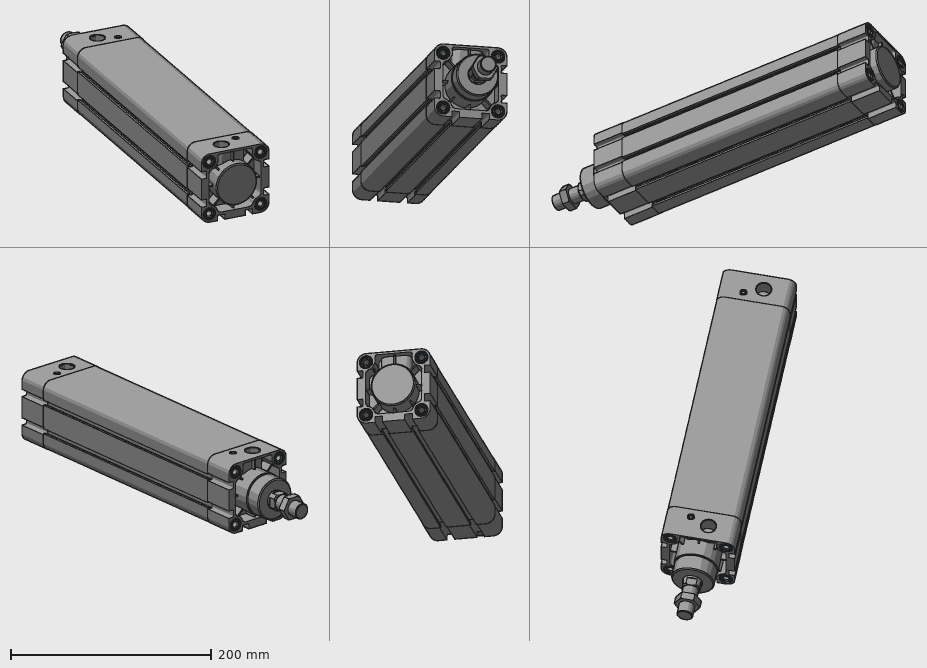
import cadquery as cq
import math

TOTAL_LENGTH = 394.0

CAP_SIDE = 75.0
TUBE_SIDE = 74.5
CAP_LENGTH = 33.0
FRONT_FACE_X = 69.0
SPIGOT_LENGTH = 4.0
REAR_FACE_X = TOTAL_LENGTH - SPIGOT_LENGTH
TUBE_START_X = FRONT_FACE_X + CAP_LENGTH
TUBE_END_X = REAR_FACE_X - CAP_LENGTH
CORNER_RADIUS = 9.5

GROOVE_OFFSET = 15.5
GROOVE_DEPTH = 6.0
CAP_GROOVE_WIDTH = 8.0
CAP_GROOVE_FILLET = 1.0
TUBE_GROOVE_WIDTH = 5.5
TUBE_LIP_THICKNESS = 2.5
TUBE_SLOT_INNER_WIDTH = 9.0

SCREW_OFFSET = 28.5
SCREW_RECESS_DIAMETER = 13.5
SCREW_RECESS_DEPTH = 1.5
SCREW_HEAD_DIAMETER = 12.0
SCREW_HEAD_HEIGHT = 1.0
SCREW_HEAD_CHAMFER = 0.8
SCREW_BORE_DIAMETER = 6.0
SCREW_BORE_RIM_DIAMETER = 8.0
SCREW_BORE_DEPTH = 15.8

POCKET_DEPTH = 17.0
POCKET_HALF_SIDE = 28.8
POCKET_TOP_Z = 35.0
POCKET_TOP_HALF_WIDTH = 19.0
SCREW_PAD_RADIUS = 9.0
POCKET_FILLET = 5.0
POCKET_TOP_FILLET = 2.5
RIB_THICKNESS = 1.5
RIB_HEIGHT = 13.0
BOSS_WIDTH = 32.0
BOSS_CORNER_RADIUS = 8.0
BOSS_DEPTH = 8.0
BOSS_BOTTOM_Z = 15.8

PORT_DIAMETER = 15.0
PORT_MOUTH_DIAMETER = 16.0
PORT_DEPTH = 16.0
PORT_FROM_FACE = 16.5
PORT_Y = -7.5
VENT_DIAMETER = 7.0
VENT_FROM_FACE = 24.0
VENT_Y = 12.0
VENT_DEPTH = 4.0
VENT_SCREW_DIAMETER = 5.5
VENT_SCREW_RISE = 0.5
VENT_SOCKET_DIAMETER = 4.0
VENT_SOCKET_DEPTH = 2.0

SPIGOT_DIAMETER = 45.0
SPIGOT_CHAMFER = 1.0
COLLAR_DIAMETER = 43.5
COLLAR_START_X = 41.8
COLLAR_END_X = 59.5
COLLAR_CHAMFER = 1.0

ROD_DIAMETER = 20.0
THREAD_DIAMETER = 16.0
THREAD_TIP_CHAMFER = 0.8
THREAD_LENGTH = 31.5
ROD_SHOULDER_CHAMFER = 1.0
FLATS_END_X = 39.5
ACROSS_FLATS = 17.5
NUT_START_X = 12.2
NUT_LENGTH = 8.0
NUT_ACROSS_FLATS = 23.0
NUT_ACROSS_CORNERS = NUT_ACROSS_FLATS / math.cos(math.pi / 6)
NUT_CORNER_CHAMFER = 0.8


def axial_cylinder(diameter, start_x, end_x):
    """Cylinder on the rod axis between two X positions."""
    disc = cq.Workplane("YZ", origin=(start_x, 0, 0)).circle(diameter / 2)
    return disc.extrude(end_x - start_x)


def slot_cutter(width, mouth_depth, inner_width, depth, start_x, end_x):
    """Groove cutter along X for a surface at Z = 0: a mouth, then a wider or equal inner part."""
    half_mouth = width / 2
    half_inner = inner_width / 2
    right_half = (
        cq.Workplane("YZ", origin=(start_x, 0, 0))
        .moveTo(0, 0)
        .lineTo(half_mouth, 0)
        .lineTo(half_mouth, -mouth_depth)
        .lineTo(half_inner, -mouth_depth)
        .lineTo(half_inner, -depth)
        .lineTo(0, -depth)
        .close()
        .extrude(end_x - start_x)
    )
    return right_half.union(right_half.mirror("XZ"))


def cut_grooves(bar, cutter, side):
    """Cut two parallel grooves into the underside and the two sides of a square bar."""
    for angle in (90, 180, 270):
        for offset in (-GROOVE_OFFSET, GROOVE_OFFSET):
            groove = cutter.translate((0, offset, side / 2))
            bar = bar.cut(groove.rotate((0, 0, 0), (1, 0, 0), angle))
    return bar


def rounded_bar(side, start_x, end_x):
    """Square bar along X with rounded long edges."""
    square = cq.Workplane("YZ", origin=(start_x, 0, 0)).rect(side, side)
    return square.extrude(end_x - start_x).edges("|X").fillet(CORNER_RADIUS)


def make_tube():
    """Barrel between the caps with T-slots for sensors."""
    slot = slot_cutter(
        TUBE_GROOVE_WIDTH,
        TUBE_LIP_THICKNESS,
        TUBE_SLOT_INNER_WIDTH,
        GROOVE_DEPTH,
        TUBE_START_X,
        TUBE_END_X,
    )
    return cut_grooves(rounded_bar(TUBE_SIDE, TUBE_START_X, TUBE_END_X), slot, TUBE_SIDE)


def cap_block():
    """Front cap block with round-bottomed grooves."""
    groove = (
        cq.Workplane("YZ", origin=(FRONT_FACE_X, 0, 0))
        .rect(CAP_GROOVE_WIDTH, 2 * GROOVE_DEPTH)
        .extrude(CAP_LENGTH)
        .edges("|X")
        .fillet(CAP_GROOVE_FILLET)
    )
    return cut_grooves(rounded_bar(CAP_SIDE, FRONT_FACE_X, TUBE_START_X), groove, CAP_SIDE)


def port_boss():
    """Block hanging from the top of the pocket, with rounded upright front edges."""
    front_x = FRONT_FACE_X + BOSS_DEPTH
    back_x = FRONT_FACE_X + POCKET_DEPTH
    boss = (
        cq.Workplane("XY", origin=((front_x + back_x) / 2, 0, BOSS_BOTTOM_Z))
        .rect(back_x - front_x, BOSS_WIDTH)
        .extrude(POCKET_TOP_Z - BOSS_BOTTOM_Z)
    )
    return boss.edges("|Z and <X").fillet(BOSS_CORNER_RADIUS)


def pocket_ribs():
    """Four thin bars crossing on the axis, which give eight radial ribs on the pocket floor."""
    bar = (
        cq.Workplane("YZ", origin=(FRONT_FACE_X + POCKET_DEPTH - RIB_HEIGHT, 0, 0))
        .rect(RIB_THICKNESS, 2 * CAP_SIDE)
        .extrude(RIB_HEIGHT)
    )
    ribs = bar
    for angle in (45, 90, 135):
        ribs = ribs.union(bar.rotate((0, 0, 0), (1, 0, 0), angle))
    return ribs


def pocket_cutter():
    """Hollow in the front cap face, kept clear of the corner screws, ribs and port boss."""
    plane = cq.Workplane("YZ", origin=(FRONT_FACE_X, 0, 0))
    pads = (
        plane.rect(2 * SCREW_OFFSET, 2 * SCREW_OFFSET, forConstruction=True)
        .vertices()
        .circle(SCREW_PAD_RADIUS)
        .extrude(POCKET_DEPTH)
    )
    main_part = plane.rect(2 * POCKET_HALF_SIDE, 2 * POCKET_HALF_SIDE).extrude(POCKET_DEPTH)
    main_part = main_part.cut(pads).edges("|X").fillet(POCKET_FILLET)
    top_part = (
        plane.center(0, POCKET_TOP_Z / 2)
        .rect(2 * POCKET_TOP_HALF_WIDTH, POCKET_TOP_Z)
        .extrude(POCKET_DEPTH)
        .edges("|X and >Z")
        .fillet(POCKET_TOP_FILLET)
    )
    return main_part.union(top_part).cut(port_boss()).cut(pocket_ribs())


def corner_screw_cutter():
    """Ring-shaped recess around a screw head with a central bore, at the axis and face X = 0."""
    recess = axial_cylinder(SCREW_RECESS_DIAMETER, 0, SCREW_RECESS_DEPTH)
    head_top = SCREW_RECESS_DEPTH - SCREW_HEAD_HEIGHT
    head = axial_cylinder(SCREW_HEAD_DIAMETER, head_top, SCREW_RECESS_DEPTH)
    head = head.faces("<X").chamfer(SCREW_HEAD_CHAMFER)
    rim_slope = (SCREW_BORE_RIM_DIAMETER - SCREW_BORE_DIAMETER) / 2
    bore = (
        cq.Workplane("XY")
        .moveTo(head_top, 0)
        .lineTo(head_top, SCREW_BORE_RIM_DIAMETER / 2)
        .lineTo(head_top + rim_slope, SCREW_BORE_DIAMETER / 2)
        .lineTo(head_top + SCREW_BORE_DEPTH, SCREW_BORE_DIAMETER / 2)
        .lineTo(head_top + SCREW_BORE_DEPTH, 0)
        .close()
        .revolve(360, (0, 0, 0), (1, 0, 0))
    )
    return recess.cut(head).union(bore)


def port_cutter():
    """Air port with a chamfered mouth in the top of the front cap."""
    top = cq.Workplane("XY", origin=(FRONT_FACE_X + PORT_FROM_FACE, PORT_Y, CAP_SIDE / 2))
    bore = top.circle(PORT_DIAMETER / 2).extrude(-PORT_DEPTH)
    mouth_chamfer = (PORT_MOUTH_DIAMETER - PORT_DIAMETER) / 2
    mouth = (
        top.circle(PORT_MOUTH_DIAMETER / 2)
        .workplane(offset=-mouth_chamfer)
        .circle(PORT_DIAMETER / 2)
        .loft()
    )
    return bore.union(mouth)


def vent_workplane():
    return cq.Workplane("XY", origin=(FRONT_FACE_X + VENT_FROM_FACE, VENT_Y, CAP_SIDE / 2))


def vent_hole():
    """Blind hole for the cushioning screw in the top of the front cap."""
    return vent_workplane().circle(VENT_DIAMETER / 2).extrude(-VENT_DEPTH)


def vent_screw():
    """Cushioning screw standing on the bottom of its hole, with a socket in its raised end."""
    base = vent_workplane().workplane(offset=-VENT_DEPTH)
    screw = base.circle(VENT_SCREW_DIAMETER / 2).extrude(VENT_DEPTH + VENT_SCREW_RISE)
    return screw.faces(">Z").workplane().hole(VENT_SOCKET_DIAMETER, VENT_SOCKET_DEPTH)


def front_cap():
    cap = cap_block().cut(pocket_cutter())
    for y in (-SCREW_OFFSET, SCREW_OFFSET):
        for z in (-SCREW_OFFSET, SCREW_OFFSET):
            cap = cap.cut(corner_screw_cutter().translate((FRONT_FACE_X, y, z)))
    return cap.cut(port_cutter()).cut(vent_hole()).union(vent_screw())


def make_cylinder():
    """Tube, two mirrored caps, rod collar and rear spigot as one solid with a hole for the rod."""
    tube = make_tube()
    cap = front_cap()
    middle_x = (FRONT_FACE_X + REAR_FACE_X) / 2
    rear_cap = cap.mirror("YZ", (middle_x, 0, 0))
    hub = axial_cylinder(SPIGOT_DIAMETER, COLLAR_END_X, TOTAL_LENGTH)
    hub = hub.faces(">X").chamfer(SPIGOT_CHAMFER)
    collar = axial_cylinder(COLLAR_DIAMETER, COLLAR_START_X, COLLAR_END_X)
    collar = collar.faces("<X or >X").chamfer(COLLAR_CHAMFER)
    body = tube.union(cap).union(rear_cap).union(hub).union(collar)
    return body.cut(axial_cylinder(ROD_DIAMETER, COLLAR_START_X, TUBE_START_X))


def make_rod():
    """Piston rod with a threaded end, four wrench flats and the nut on its thread."""
    thread = axial_cylinder(THREAD_DIAMETER, 0, THREAD_LENGTH)
    thread = thread.faces("<X").chamfer(THREAD_TIP_CHAMFER)
    flats = axial_cylinder(ROD_DIAMETER, THREAD_LENGTH, FLATS_END_X)
    flats = flats.faces("<X").chamfer(ROD_SHOULDER_CHAMFER)
    flats = flats.intersect(
        cq.Workplane("YZ", origin=(THREAD_LENGTH, 0, 0))
        .rect(ACROSS_FLATS, ACROSS_FLATS)
        .extrude(FLATS_END_X - THREAD_LENGTH)
    )
    shank = axial_cylinder(ROD_DIAMETER, FLATS_END_X, TUBE_START_X)
    nut = (
        cq.Workplane("YZ", origin=(NUT_START_X, 0, 0))
        .polygon(6, NUT_ACROSS_CORNERS)
        .extrude(NUT_LENGTH)
    )
    rounding = axial_cylinder(NUT_ACROSS_CORNERS, NUT_START_X, NUT_START_X + NUT_LENGTH)
    nut = nut.intersect(rounding.faces("<X or >X").chamfer(NUT_CORNER_CHAMFER))
    return thread.union(flats).union(shank).union(nut)


cylinder = make_cylinder()
rod = make_rod()
result = cq.Compound.makeCompound([cylinder.val(), rod.val()])